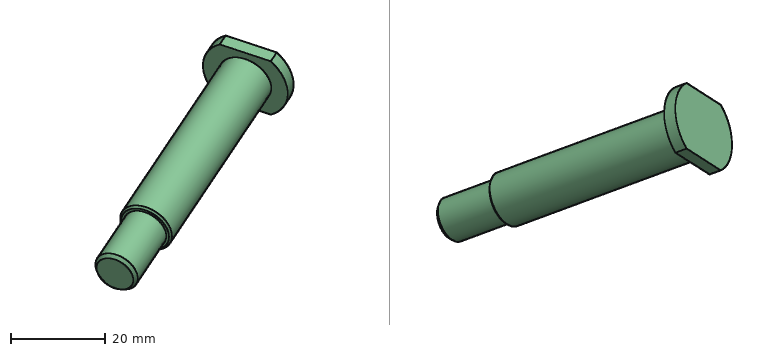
import cadquery as cq

total_length = 68.0

head_diameter = 20.0
head_across_flats = 16.0
head_thickness = 3.0

shank_diameter = 12.25
shank_chamfer = 0.5
journal_diameter = 10.0
journal_length = 15.0
tip_chamfer_length = 0.8
tip_chamfer_depth = 0.7

shank_length = total_length - head_thickness - journal_length


def cylinder(diameter, start, length):
    """Solid cylinder on the Y axis, from start toward +Y."""
    return (
        cq.Workplane("XZ", origin=(0, start, 0))
        .circle(diameter / 2)
        .extrude(-length)
    )


def make_head():
    disc = cylinder(head_diameter, total_length - head_thickness, head_thickness)
    flats = cq.Workplane("XY").box(head_diameter, 2 * total_length, head_across_flats)
    return disc.intersect(flats)


def make_shank():
    shank = cylinder(shank_diameter, journal_length, shank_length)
    return shank.faces("<Y").chamfer(shank_chamfer)


def make_journal():
    """Journal with a tapered tip."""
    tip_radius = journal_diameter / 2 - tip_chamfer_depth
    half_profile = (
        cq.Workplane("XY")
        .moveTo(0, 0)
        .lineTo(tip_radius, 0)
        .lineTo(journal_diameter / 2, tip_chamfer_length)
        .lineTo(journal_diameter / 2, journal_length)
        .lineTo(0, journal_length)
        .close()
    )
    return half_profile.revolve(360, (0, 0, 0), (0, 1, 0))


result = make_head().union(make_shank()).union(make_journal())